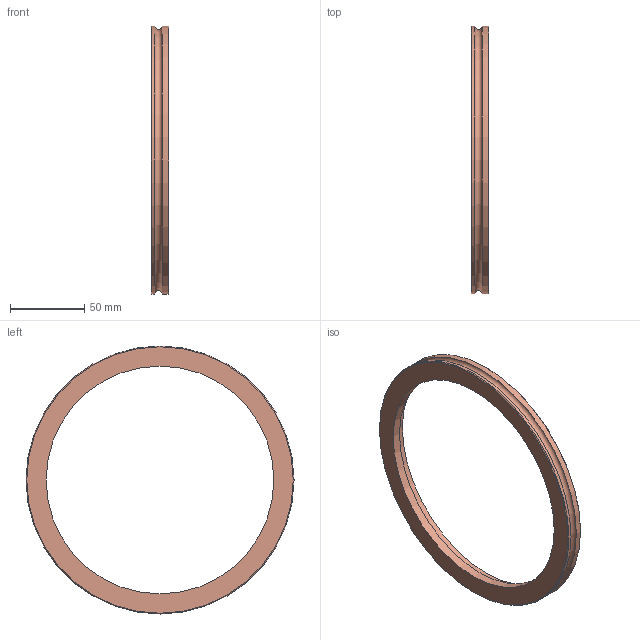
import cadquery as cq

WIDTH = 12.0
OUTER_DIAMETER = 180.0
BORE_DIAMETER = 153.0
RIM_CHAMFER = 0.5

GROOVE_RADIUS = 2.5
GROOVE_FROM_LEFT_FACE = 5.0

RECESS_DIAMETER = 159.5
RECESS_DEPTH = WIDTH / 2

LEFT_FACE_X = -WIDTH / 2
RIGHT_FACE_X = WIDTH / 2


def disc(diameter, start_x, length):
    """Solid cylinder along X, starting at start_x."""
    return cq.Workplane("YZ").workplane(offset=start_x).circle(diameter / 2).extrude(length)


def ring_blank():
    """Outer disc with both rim edges chamfered, then bored through."""
    blank = disc(OUTER_DIAMETER, LEFT_FACE_X, WIDTH).edges().chamfer(RIM_CHAMFER)
    return blank.cut(disc(BORE_DIAMETER, LEFT_FACE_X, WIDTH))


def rim_groove():
    """Torus whose centre circle lies on the rim surface."""
    groove_x = LEFT_FACE_X + GROOVE_FROM_LEFT_FACE
    torus = cq.Solid.makeTorus(
        OUTER_DIAMETER / 2,
        GROOVE_RADIUS,
        cq.Vector(groove_x, 0, 0),
        cq.Vector(1, 0, 0),
    )
    return cq.Workplane(obj=torus)


def bore_recess():
    """Cylinder that widens the +X half of the bore, leaving a shoulder at mid-width."""
    return disc(RECESS_DIAMETER, RIGHT_FACE_X - RECESS_DEPTH, RECESS_DEPTH)


result = ring_blank().cut(rim_groove()).cut(bore_recess())